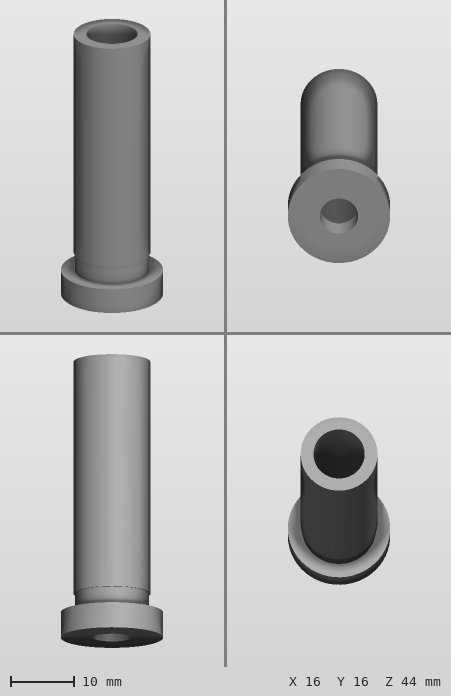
import cadquery as cq
import math

total_height = 44.0
flange_height = 4.0
neck_height = 3.0

flange_diameter = 16.0
neck_diameter = 11.6
barrel_diameter = 12.0

bore_diameter = 8.0
hole_diameter = 6.0
hole_length = flange_height
drill_tip_angle = 118.0
taper_height = (bore_diameter - hole_diameter) / 2 / math.tan(math.radians(drill_tip_angle / 2))

barrel_height = total_height - flange_height - neck_height
seat_top = hole_length + taper_height


def make_body():
    """Flange, relief neck and barrel stacked upward from Z = 0."""
    flange = cq.Workplane("XY").circle(flange_diameter / 2).extrude(flange_height)
    neck = flange.faces(">Z").workplane().circle(neck_diameter / 2).extrude(neck_height)
    return neck.faces(">Z").workplane().circle(barrel_diameter / 2).extrude(barrel_height)


def make_bore():
    """Revolved cutter for the hole, the conical seat and the wide bore."""
    return (
        cq.Workplane("XZ")
        .lineTo(hole_diameter / 2, 0)
        .lineTo(hole_diameter / 2, hole_length)
        .lineTo(bore_diameter / 2, seat_top)
        .lineTo(bore_diameter / 2, total_height)
        .lineTo(0, total_height)
        .close()
        .revolve(360, (0, 0, 0), (0, 1, 0))
    )


result = make_body().cut(make_bore())